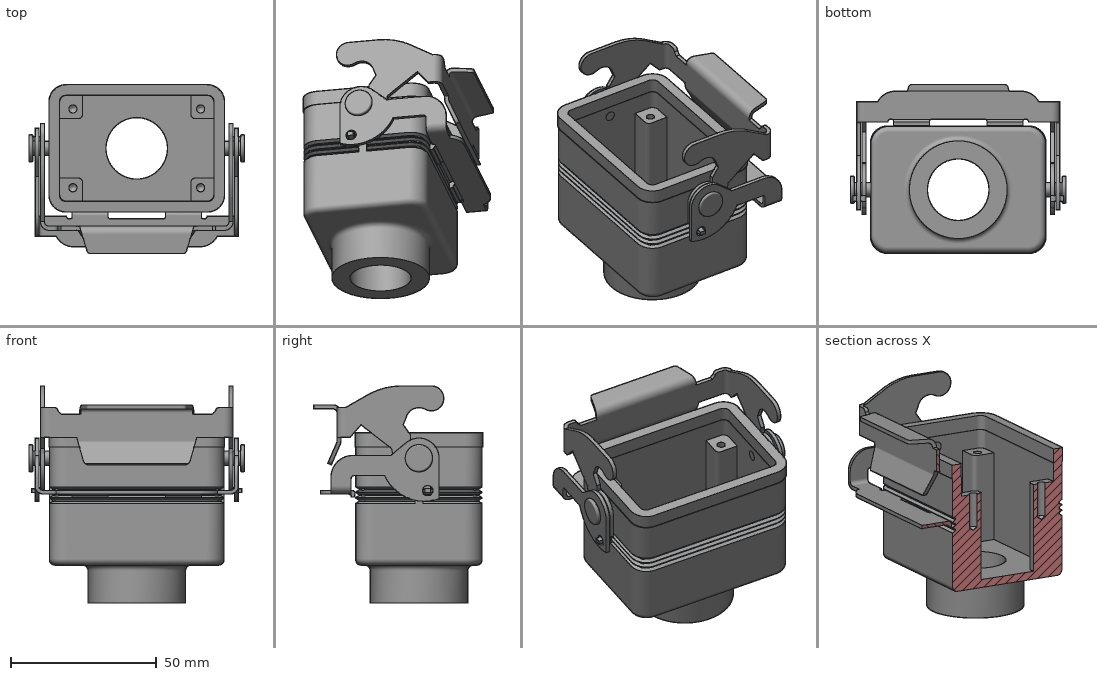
import cadquery as cq
import math

SIDES = (-1, 1)

spout_radius = 16.75
spout_fillet = 1.8
bore_radius = 10.5
body_bottom_z = 13.0
body_half_x = 29.95
body_half_y = 21.7
body_corner_radius = 6.0
body_bottom_fillet = 2.0
rim_bottom_z = 53.5
rim_top_z = 58.45
rim_half_x = 30.15
rim_half_y = 21.9
cavity_half_x = 26.4
cavity_half_y = 18.1
cavity_corner_radius = 2.2
cavity_floor_z = 16.0
cavity_step = 0.1
post_size_x = 7.85
post_size_y = 7.9
post_corner_radius = 1.5
post_wall_overlap = 1.6
post_top_z = 46.9
post_hole_x = 21.9
post_hole_y = 13.5
post_hole_radius = 1.4
post_hole_depth = 12.0
drill_point_angle = 118.0
groove_middle_z = 37.05
groove_pitch = 1.95
groove_depth = 1.1
groove_half_opening = 0.9
groove_half_floor = 0.2
groove_bridge_width = 2.8

pivot_z = 49.7
shank_radius = 1.7
collar_radius = 2.5
head_radius = 4.7
head_inner_x = 35.6
head_outer_x = 37.0
head_fillet = 0.55

lever_sheet = 1.4
lever_outer_x = 33.0
lever_front_y = -28.1
lever_bend_radius = 2.95
lever_top_z = 74.5
band_bottom_z = 56.85
band_top_z = 67.1
nose_radius = 4.3
nose_center_y = 4.25
throat_radius = 4.5
throat_middle_degrees = 110.0
throat_end_degrees = 168.0
throat_corner = (-5.35, 61.2)
neck_rear_y = -2.9
neck_top_z = 57.7
neck_front_high = (-9.35, 53.0)
neck_front_low = (-9.0, 51.1)
gap_peak = (-19.85, 61.1)
gap_foot_y = -23.6
back_flat_end_y = -6.1
back_radius = 23.0
back_slope_degrees = 28.2
eye_radius = 6.3
lobe_radius = 9.0
lobe_center_z = 47.8
notch_floor_z = 64.8
notch_floor_half_x = 25.9
notch_top_half_x = 28.1
shoulder_bow = 0.4
grip_top_z = 68.0
grip_bend_radius = 1.4
grip_tip_y = -36.08
grip_root_half_x = 19.6
grip_tip_half_x = 16.8
grip_corner_radius = 1.2
tab_root_half_x = 20.6
tab_tip_half_x = 17.9
tab_tip_z = 47.4
tab_bend_z = 55.0
tab_angle = 23.5
tab_bend_radius = 1.0
tab_corner_radius = 2.0

finger_y = 3.0
finger_z = 38.6
finger_width = 2.0
finger_height = 1.4
finger_end_x = 36.0
window_radius = 1.75

bracket_sheet = 1.3
bracket_outer_x = 34.8
bracket_bend_radius = 2.7
shelf_bottom_z = 37.4
cheek_radius = 6.9
cheek_rear_low_z = 35.8
cheek_bottom = (-1.5, 35.3)
cheek_front_y = -11.75
cheek_tangent_degrees = 130.0
arm_root_y = -9.6
arm_rear_y = -23.2
arm_front_y = -30.2
arm_top_z = 50.7
arm_bottom_z = 43.7
arm_nose_radius = 7.6
arm_inner_radius = 1.0
shelf_front_y = -33.8
shelf_side_half_x = 27.6
shelf_front_half_x = 21.9
shelf_shoulder = (25.7, -32.4)
shelf_relief_y = -24.1
relief_half_x = 24.0
relief_corner_radius = 0.6
lip_inner_half_x = 9.8
lip_outer_half_x = 22.2
lip_crown = (-22.35, 38.5)
lip_nose = (-21.85, 38.0)
lip_toe = (-22.0, 36.4)
lip_heel_z = 36.9


def side_plane(x):
    """Workplane with local axes Y and Z, extruding toward +X."""
    return cq.Workplane("YZ").workplane(offset=x)


def front_plane(y):
    """Workplane with local axes X and Z, extruding toward -Y."""
    return cq.Workplane("XZ", origin=(0, y, 0))


def plan_plane(z):
    return cq.Workplane("XY").workplane(offset=z)


def rounded_block(half_x, half_y, corner_radius, bottom_z, top_z):
    """Upright block centred on the Z axis with rounded vertical edges."""
    block = plan_plane(bottom_z).rect(2 * half_x, 2 * half_y).extrude(top_z - bottom_z)
    return block.edges("|Z").fillet(corner_radius)


def cylinder_along_x(radius, y, z, x_start, x_end):
    return side_plane(x_start).center(y, z).circle(radius).extrude(x_end - x_start)


def point_on_circle(center_a, center_b, radius, degrees):
    angle = math.radians(degrees)
    return (center_a + radius * math.cos(angle), center_b + radius * math.sin(angle))


def both_sides(right_part):
    """A part together with its mirror image across the YZ plane."""
    return right_part.union(right_part.mirror("YZ"))


def groove_cutter(z):
    """Ring of trapezoidal section that sinks into the outside of the body."""
    bottom_z = z - groove_half_opening
    top_z = z + groove_half_opening
    floor_half_x = body_half_x - groove_depth
    floor_half_y = body_half_y - groove_depth
    floor_corner = body_corner_radius - groove_depth
    flank_height = groove_half_opening - groove_half_floor
    flank_taper = math.degrees(math.atan2(groove_depth, flank_height))

    mouth = cq.Sketch().rect(2 * body_half_x, 2 * body_half_y).vertices().fillet(body_corner_radius)
    lower_flank = plan_plane(bottom_z).placeSketch(mouth).extrude(flank_height, taper=flank_taper)
    floor = rounded_block(floor_half_x, floor_half_y, floor_corner, bottom_z, top_z)
    upper_flank = lower_flank.mirror("XY", (0, 0, z))
    core = floor.union(lower_flank).union(upper_flank)
    stock = rounded_block(rim_half_x, rim_half_y, body_corner_radius, bottom_z, top_z)
    return stock.cut(core)


def make_housing_shell():
    """Outer body with its rim, grooves, spout and rounded underside."""
    body = rounded_block(body_half_x, body_half_y, body_corner_radius, body_bottom_z, rim_bottom_z)
    body = body.faces("<Z").edges().fillet(body_bottom_fillet)
    for step in (-1, 0, 1):
        body = body.cut(groove_cutter(groove_middle_z + step * groove_pitch))

    bridge_height = 2 * (groove_pitch + groove_half_opening)
    for side in SIDES:
        bridge = cq.Workplane("XY").box(2 * groove_depth, groove_bridge_width, bridge_height)
        body = body.union(bridge.translate((side * (body_half_x - groove_depth), 0, groove_middle_z)))

    rim = rounded_block(rim_half_x, rim_half_y, body_corner_radius, rim_bottom_z, rim_top_z)

    flare_radius = spout_radius + spout_fillet
    flare_start_z = body_bottom_z - spout_fillet
    arc_inset = spout_fillet * (1 - math.sqrt(0.5))
    spout = (
        cq.Workplane("XZ")
        .moveTo(0, 0)
        .lineTo(spout_radius, 0)
        .lineTo(spout_radius, flare_start_z)
        .threePointArc((spout_radius + arc_inset, body_bottom_z - arc_inset), (flare_radius, body_bottom_z))
        .lineTo(0, body_bottom_z)
        .close()
        .revolve(360, (0, 0, 0), (0, 1, 0))
    )
    return body.union(rim).union(spout)


def make_post(side_x, side_y):
    """Corner post with a blind screw hole that ends in a drill point."""
    size_x = post_size_x + post_wall_overlap
    size_y = post_size_y + post_wall_overlap
    center_x = side_x * (cavity_half_x - post_size_x + size_x / 2)
    center_y = side_y * (cavity_half_y - post_size_y + size_y / 2)
    post = plan_plane(cavity_floor_z).center(center_x, center_y).rect(size_x, size_y)
    post = post.extrude(post_top_z - cavity_floor_z).edges("|Z").fillet(post_corner_radius)

    point_depth = post_hole_radius / math.tan(math.radians(drill_point_angle / 2))
    drill = (
        cq.Workplane("XZ")
        .lineTo(post_hole_radius, 0)
        .lineTo(post_hole_radius, -post_hole_depth)
        .lineTo(0, -post_hole_depth - point_depth)
        .close()
        .revolve(360, (0, 0, 0), (0, 1, 0))
    )
    return post.cut(drill.translate((side_x * post_hole_x, side_y * post_hole_y, post_top_z)))


def make_housing():
    body = make_housing_shell()
    body = body.cut(
        rounded_block(cavity_half_x, cavity_half_y, cavity_corner_radius, cavity_floor_z, rim_bottom_z)
    )
    mouth_half_x = cavity_half_x + cavity_step
    mouth_half_y = cavity_half_y + cavity_step
    body = body.cut(
        rounded_block(mouth_half_x, mouth_half_y, cavity_corner_radius, rim_bottom_z, rim_top_z)
    )
    body = body.cut(cq.Workplane("XY").circle(bore_radius).extrude(cavity_floor_z))
    for side_x in SIDES:
        for side_y in SIDES:
            body = body.union(make_post(side_x, side_y))
    return body.cut(cylinder_along_x(shank_radius, 0, pivot_z, -body_half_x, body_half_x))


def hook_side_block():
    """Full-width block with the side outline of the hook plate and the front band."""
    nose_center_z = lever_top_z - nose_radius
    center_distance = nose_radius + throat_radius
    throat_center_z = nose_center_z - math.sqrt(center_distance**2 - nose_center_y**2)
    nose_share = nose_radius / center_distance
    nose_end = (
        nose_center_y * (1 - nose_share),
        nose_center_z + (throat_center_z - nose_center_z) * nose_share,
    )
    throat_end = point_on_circle(0, throat_center_z, throat_radius, throat_end_degrees)
    throat_middle = point_on_circle(0, throat_center_z, throat_radius, throat_middle_degrees)

    back_center_z = lever_top_z - back_radius
    back_end_degrees = 90 + back_slope_degrees
    back_middle_degrees = 90 + back_slope_degrees / 2
    back_arc_end = point_on_circle(back_flat_end_y, back_center_z, back_radius, back_end_degrees)
    back_arc_middle = point_on_circle(back_flat_end_y, back_center_z, back_radius, back_middle_degrees)
    band_side_y = lever_front_y + lever_bend_radius
    eye_start_z = pivot_z + math.sqrt(eye_radius**2 - neck_rear_y**2)
    eye_middle = point_on_circle(0, pivot_z, eye_radius, 45)
    lobe_start_z = lobe_center_z - math.sqrt(lobe_radius**2 - eye_radius**2)

    return (
        side_plane(-lever_outer_x)
        .moveTo(nose_center_y, lever_top_z)
        .threePointArc((nose_center_y + nose_radius, nose_center_z), nose_end)
        .threePointArc(throat_middle, throat_end)
        .lineTo(*throat_corner)
        .lineTo(neck_rear_y, neck_top_z)
        .lineTo(neck_rear_y, eye_start_z)
        .threePointArc(eye_middle, (eye_radius, pivot_z))
        .lineTo(eye_radius, lobe_start_z)
        .threePointArc((0, lobe_center_z - lobe_radius), (-lobe_radius, lobe_center_z))
        .lineTo(*neck_front_low)
        .lineTo(*neck_front_high)
        .lineTo(*gap_peak)
        .lineTo(gap_foot_y, band_bottom_z)
        .lineTo(lever_front_y, band_bottom_z)
        .lineTo(lever_front_y, band_top_z)
        .lineTo(band_side_y, band_top_z)
        .lineTo(*back_arc_end)
        .threePointArc(back_arc_middle, (back_flat_end_y, lever_top_z))
        .close()
        .extrude(2 * lever_outer_x)
    )


def lever_sheet_wrap():
    """Tall U of bent sheet: two side plates joined by the front band."""
    height = lever_top_z
    rear_y = nose_center_y + nose_radius
    inner_x = lever_outer_x - lever_sheet
    inner_front_y = lever_front_y + lever_sheet

    outer_depth = rear_y - lever_front_y
    outer = cq.Workplane("XY").box(2 * lever_outer_x, outer_depth, height, centered=(True, False, False))
    outer = outer.translate((0, lever_front_y, 0))
    outer = outer.edges("|Z and <Y").fillet(lever_bend_radius)
    inner_depth = rear_y - inner_front_y
    inner = cq.Workplane("XY").box(2 * inner_x, inner_depth, height, centered=(True, False, False))
    inner = inner.translate((0, inner_front_y, 0))
    inner = inner.edges("|Z and <Y").fillet(lever_bend_radius - lever_sheet)
    return outer.cut(inner)


def band_notch():
    """Cutter that lowers the top edge of the band between its two shoulders."""
    middle_x = (notch_floor_half_x + notch_top_half_x) / 2
    middle_z = (notch_floor_z + band_top_z) / 2
    bow_x = middle_x + shoulder_bow
    bow_z = middle_z + 2 * shoulder_bow
    return (
        front_plane(lever_front_y + lever_bend_radius)
        .moveTo(-notch_floor_half_x, notch_floor_z)
        .lineTo(notch_floor_half_x, notch_floor_z)
        .lineTo(middle_x, middle_z)
        .threePointArc((bow_x, bow_z), (notch_top_half_x, band_top_z))
        .lineTo(-notch_top_half_x, band_top_z)
        .threePointArc((-bow_x, bow_z), (-middle_x, middle_z))
        .close()
        .extrude(2 * lever_bend_radius)
    )


def make_grip():
    """Finger grip: the band's upper edge bent outward into a horizontal flap."""
    back_y = lever_front_y + lever_sheet
    under_z = grip_top_z - lever_sheet
    center_y = lever_front_y - grip_bend_radius
    center_z = under_z - grip_bend_radius
    outer_bend = grip_bend_radius + lever_sheet
    strip = (
        side_plane(-grip_root_half_x)
        .moveTo(back_y, notch_floor_z - lever_sheet)
        .lineTo(back_y, center_z)
        .threePointArc(point_on_circle(center_y, center_z, outer_bend, 45), (center_y, grip_top_z))
        .lineTo(grip_tip_y, grip_top_z)
        .lineTo(grip_tip_y, under_z)
        .lineTo(center_y, under_z)
        .threePointArc(point_on_circle(center_y, center_z, grip_bend_radius, 45), (lever_front_y, center_z))
        .lineTo(lever_front_y, notch_floor_z - lever_sheet)
        .close()
        .extrude(2 * grip_root_half_x)
    )
    outline = (
        cq.Workplane("XY")
        .moveTo(-grip_root_half_x, back_y)
        .lineTo(grip_root_half_x, back_y)
        .lineTo(grip_tip_half_x, grip_tip_y)
        .lineTo(-grip_tip_half_x, grip_tip_y)
        .close()
        .extrude(lever_top_z)
        .edges("|Z and <Y")
        .fillet(grip_corner_radius)
    )
    return strip.intersect(outline)


def make_tab():
    """Sloping tab that hangs from the band and leans outward."""
    back_y = lever_front_y + lever_sheet
    lean = math.radians(tab_angle)
    mitre_drop = lever_sheet * math.tan(lean / 2)
    length = (tab_bend_z - tab_tip_z) / math.cos(lean)
    reach = length * math.sin(lean)
    strip = (
        side_plane(-tab_root_half_x)
        .moveTo(back_y, band_bottom_z)
        .lineTo(back_y, tab_bend_z)
        .lineTo(back_y - reach, tab_tip_z)
        .lineTo(back_y - reach - lever_sheet * math.cos(lean), tab_tip_z + lever_sheet * math.sin(lean))
        .lineTo(lever_front_y, tab_bend_z + mitre_drop)
        .lineTo(lever_front_y, band_bottom_z)
        .close()
        .extrude(2 * tab_root_half_x)
    )
    inner_bend = cq.selectors.NearestToPointSelector((0, lever_front_y, tab_bend_z + mitre_drop))
    strip = strip.edges("|X").edges(inner_bend).fillet(tab_bend_radius)
    outer_bend = cq.selectors.NearestToPointSelector((0, back_y, tab_bend_z))
    strip = strip.edges("|X").edges(outer_bend).fillet(tab_bend_radius + lever_sheet)
    outline = (
        front_plane(back_y)
        .moveTo(-tab_root_half_x, band_bottom_z)
        .lineTo(tab_root_half_x, band_bottom_z)
        .lineTo(tab_tip_half_x, tab_tip_z)
        .lineTo(-tab_tip_half_x, tab_tip_z)
        .close()
        .extrude(reach + 2 * lever_sheet)
        .edges("|Y and <Z")
        .fillet(tab_corner_radius)
    )
    return strip.intersect(outline)


def make_stop_finger():
    """Finger bent outward from the foot of the right hook plate."""
    inner_x = lever_outer_x - lever_sheet
    bottom_z = finger_z - finger_height / 2
    leg_height = lobe_center_z - bottom_z
    leg = cq.Workplane("XY").box(lever_sheet, finger_width, leg_height, centered=(False, True, False))
    reach = finger_end_x - inner_x
    foot = cq.Workplane("XY").box(reach, finger_width, finger_height, centered=(False, True, False))
    finger = leg.union(foot).edges("|Y and <X and <Z").fillet(finger_height / 2)
    return finger.translate((inner_x, finger_y, bottom_z))


def make_hook_lever():
    lever = lever_sheet_wrap().intersect(hook_side_block())
    lever = lever.cut(band_notch())
    lever = lever.union(make_grip()).union(make_tab())
    return lever.union(both_sides(make_stop_finger()))


def bracket_cheek():
    """Right cheek plate: pivot lobe, arm and window for the stop finger."""
    bend_top_z = shelf_bottom_z + bracket_bend_radius
    nose_center_y = arm_front_y + arm_nose_radius
    nose_center_z = arm_top_z - arm_nose_radius
    lobe_top_end = point_on_circle(0, pivot_z, cheek_radius, cheek_tangent_degrees)
    lobe_top_middle = point_on_circle(0, pivot_z, cheek_radius, cheek_tangent_degrees / 2)
    arm_nose_middle = point_on_circle(nose_center_y, nose_center_z, arm_nose_radius, 135)
    cheek = (
        side_plane(bracket_outer_x - bracket_sheet)
        .moveTo(cheek_radius, pivot_z)
        .lineTo(cheek_radius, cheek_rear_low_z)
        .threePointArc(cheek_bottom, (cheek_front_y, arm_bottom_z))
        .lineTo(arm_rear_y, arm_bottom_z)
        .lineTo(arm_rear_y, bend_top_z)
        .lineTo(arm_front_y, bend_top_z)
        .lineTo(arm_front_y, nose_center_z)
        .threePointArc(arm_nose_middle, (nose_center_y, arm_top_z))
        .lineTo(arm_root_y, arm_top_z)
        .lineTo(*lobe_top_end)
        .threePointArc(lobe_top_middle, (cheek_radius, pivot_z))
        .close()
        .extrude(bracket_sheet)
    )
    inner_corner = cq.selectors.NearestToPointSelector((bracket_outer_x, arm_rear_y, arm_bottom_z))
    cheek = cheek.edges("|X").edges(inner_corner).fillet(arm_inner_radius)
    window = cylinder_along_x(window_radius, finger_y, finger_z, lever_outer_x, bracket_outer_x)
    return cheek.cut(window)


def bracket_bend():
    """Trough that joins the foot of both arms to the shelf with rounded bends."""
    height = 2 * bracket_bend_radius
    depth = arm_rear_y - arm_front_y
    inner_half_x = bracket_outer_x - bracket_sheet
    outer = cq.Workplane("XY").box(2 * bracket_outer_x, depth, height, centered=(True, True, False))
    outer = outer.edges("|Y and <Z").fillet(bracket_bend_radius)
    inner = cq.Workplane("XY").box(2 * inner_half_x, depth, height, centered=(True, True, False))
    inner = inner.translate((0, 0, bracket_sheet))
    inner = inner.edges("|Y and <Z").fillet(bracket_bend_radius - bracket_sheet)
    trough = outer.cut(inner)
    spare = cq.Workplane("XY").box(2 * bracket_outer_x, depth, height, centered=(True, True, False))
    trough = trough.cut(spare.translate((0, 0, bracket_bend_radius)))
    return trough.translate((0, (arm_rear_y + arm_front_y) / 2, shelf_bottom_z))


def shelf_front():
    """Front extension of the shelf with rounded shoulders."""
    return (
        plan_plane(shelf_bottom_z)
        .moveTo(-shelf_side_half_x, arm_front_y)
        .threePointArc((-shelf_shoulder[0], shelf_shoulder[1]), (-shelf_front_half_x, shelf_front_y))
        .lineTo(shelf_front_half_x, shelf_front_y)
        .threePointArc(shelf_shoulder, (shelf_side_half_x, arm_front_y))
        .close()
        .extrude(bracket_sheet)
    )


def shelf_relief(x_start, x_end):
    """Round-cornered cutter for the shelf's rear edge."""
    depth = arm_rear_y - shelf_relief_y
    cutter = cq.Workplane("XY").box(x_end - x_start, 2 * depth, 2 * bracket_sheet)
    cutter = cutter.edges("|Z and <Y").fillet(relief_corner_radius)
    return cutter.translate(((x_start + x_end) / 2, arm_rear_y, shelf_bottom_z + bracket_sheet / 2))


def latch_lip():
    """Right-hand lip curling down from the shelf's rear edge toward the body."""
    shelf_top_z = shelf_bottom_z + bracket_sheet
    return (
        side_plane(lip_inner_half_x)
        .moveTo(shelf_relief_y, shelf_top_z)
        .lineTo(arm_rear_y, shelf_top_z)
        .threePointArc(lip_crown, lip_nose)
        .lineTo(*lip_toe)
        .lineTo(arm_rear_y, lip_toe[1])
        .lineTo(arm_rear_y, lip_heel_z)
        .lineTo(shelf_relief_y, shelf_bottom_z)
        .close()
        .extrude(lip_outer_half_x - lip_inner_half_x)
    )


def make_bracket():
    bracket = bracket_bend().union(shelf_front())
    bracket = bracket.cut(shelf_relief(-lip_inner_half_x, lip_inner_half_x))
    bracket = bracket.cut(both_sides(shelf_relief(lip_outer_half_x, relief_half_x)))
    bracket = bracket.union(both_sides(latch_lip()))
    return bracket.union(both_sides(bracket_cheek()))


def make_rivet():
    """Right-hand rivet: shank in the housing wall, collar and rounded head."""
    shank = cylinder_along_x(shank_radius, 0, pivot_z, cavity_half_x, body_half_x)
    collar = cylinder_along_x(collar_radius, 0, pivot_z, body_half_x, head_inner_x)
    head = cylinder_along_x(head_radius, 0, pivot_z, head_inner_x, head_outer_x)
    head = head.edges().fillet(head_fillet)
    return shank.union(collar).union(head)


housing = make_housing()
latch = make_hook_lever().union(make_bracket()).union(both_sides(make_rivet()))

result = cq.Compound.makeCompound([housing.solids().val(), latch.solids().val()])